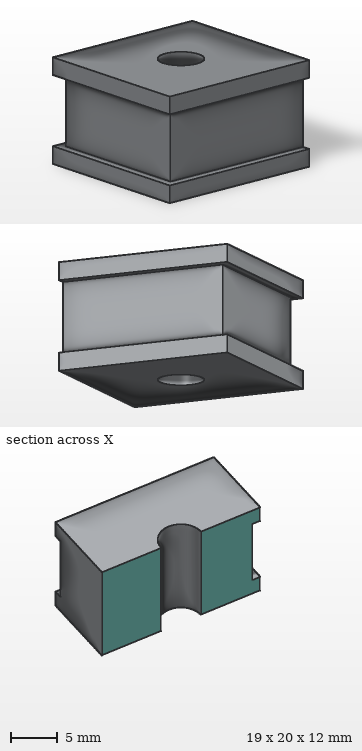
import cadquery as cq

width = 19.0
depth = 20.0
height = 12.0

flange_thickness = 2.0
core_inset = 1.0
bore_diameter = 5.0

core_width = width - 2 * core_inset
core_depth = depth - core_inset
core_height = height - 2 * flange_thickness

block = cq.Workplane("XY").box(width, depth, height)

gap = cq.Workplane("XY").box(width, depth, core_height)
core = (
    cq.Workplane("XY")
    .box(core_width, core_depth, core_height)
    .translate((0, core_inset / 2, 0))
)
spool = block.cut(gap.cut(core))

result = spool.faces(">Z").workplane(origin=(0, 0, 0)).hole(bore_diameter)